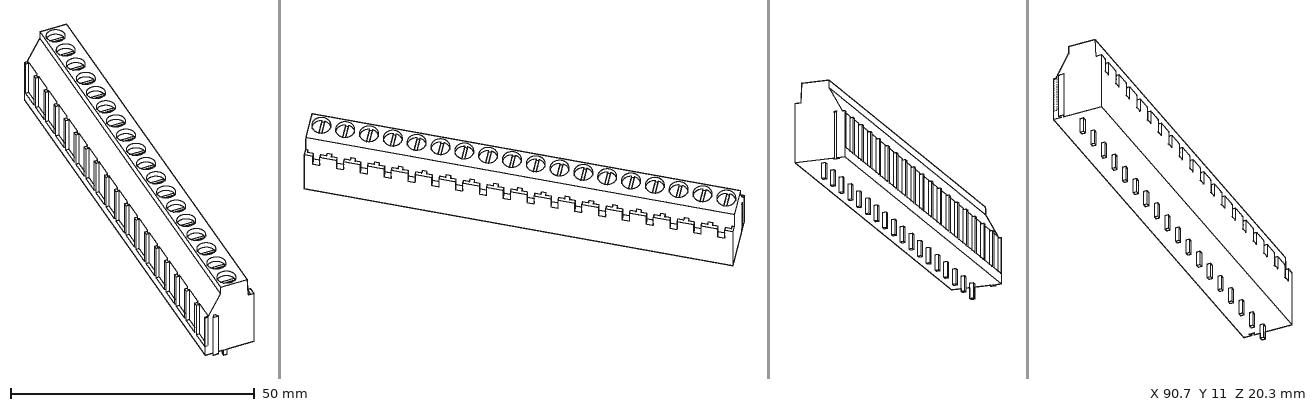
import cadquery as cq

pole_count = 18
pitch = 5.0
row_length = pole_count * pitch
row_left = -row_length / 2
row_right = row_length / 2

depth = 11.0
height = 17.0
front_y = -depth / 2
back_y = depth / 2
top_front_y = -2.0
top_back_y = 4.0
brow_y = -2.05
brow_z = 15.3
rib_top_z = 10.0
slope_foot_y = -4.95
ledge_z = 12.8
riser_foot_y = 4.2

rib_width = 0.8
panel_shift = 0.15
panel_depth = 0.7
panel_bottom_z = 2.2

screw_y = 0.4
screw_diameter = 3.9
screw_recess = 1.2
driver_slot_width = 0.6
driver_slot_depth = 0.5

marker_width = 4.0
marker_neck_width = 1.5
marker_neck_y = 4.8
marker_depth = 3.0

dovetail_y = -3.4
dovetail_reach = 0.65
dovetail_root_width = 0.4
dovetail_head_width = 1.3
dovetail_height = 10.1

pin_size = 0.8
pin_length = 3.3


def box(x_min, x_max, y_min, y_max, z_min, z_max):
    """Axis-aligned block between the given limits."""
    block = cq.Workplane("XY").box(x_max - x_min, y_max - y_min, z_max - z_min, centered=False)
    return block.translate((x_min, y_min, z_min))


def make_housing():
    """Constant cross-section run along the whole row."""
    section = [
        (front_y, 0),
        (back_y, 0),
        (back_y, ledge_z),
        (riser_foot_y, ledge_z),
        (top_back_y, height),
        (top_front_y, height),
        (brow_y, brow_z),
        (slope_foot_y, rib_top_z),
        (front_y, rib_top_z),
    ]
    return cq.Workplane("YZ", origin=(row_left, 0, 0)).polyline(section).close().extrude(row_length)


def make_panel_recess(x):
    """Front recess between two ribs, open upward into the slope and set slightly off the pole centre."""
    center_x = x + panel_shift
    half_width = (pitch - rib_width) / 2
    return box(
        center_x - half_width,
        center_x + half_width,
        front_y,
        front_y + panel_depth,
        panel_bottom_z,
        height,
    )


def make_screw_disc(x, z, rise):
    """Disc of the screw diameter that starts at z and rises (or sinks, if negative)."""
    return cq.Workplane("XY", origin=(x, screw_y, z)).circle(screw_diameter / 2).extrude(rise)


def make_screw_recess(x):
    """Round well over the screw head, with the driver slot in its floor."""
    floor_z = height - screw_recess
    well = make_screw_disc(x, floor_z, screw_recess)
    slot_limit = make_screw_disc(x, floor_z, -driver_slot_depth)
    slot = box(
        x - driver_slot_width / 2,
        x + driver_slot_width / 2,
        screw_y - screw_diameter / 2,
        screw_y + screw_diameter / 2,
        floor_z - driver_slot_depth,
        floor_z,
    )
    return well.union(slot.intersect(slot_limit))


def make_marker_slot(x):
    """T-shaped slot: wide head against the riser, neck out to the back face."""
    floor_z = ledge_z - marker_depth
    half_head = marker_width / 2
    half_neck = marker_neck_width / 2
    head = box(x - half_head, x + half_head, riser_foot_y, marker_neck_y, floor_z, ledge_z)
    neck = box(x - half_neck, x + half_neck, marker_neck_y, back_y, floor_z, ledge_z)
    return head.union(neck)


def make_dovetail(root_x):
    """Upright dovetail whose narrow root lies at root_x and whose head lies further along +X."""
    half_root = dovetail_root_width / 2
    half_head = dovetail_head_width / 2
    outline = [
        (0, -half_root),
        (dovetail_reach, -half_head),
        (dovetail_reach, half_head),
        (0, half_root),
    ]
    root = cq.Workplane("XY", origin=(root_x, dovetail_y, 0))
    return root.polyline(outline).close().extrude(dovetail_height)


def make_pin(x):
    """Square solder pin below the seating plane."""
    half_size = pin_size / 2
    return box(x - half_size, x + half_size, -half_size, half_size, -pin_length, 0)


pole_centers = [row_left + (i + 0.5) * pitch for i in range(pole_count)]

result = make_housing()
for pole_x in pole_centers:
    result = result.cut(make_panel_recess(pole_x))
    result = result.cut(make_screw_recess(pole_x))
    result = result.cut(make_marker_slot(pole_x))
    result = result.union(make_pin(pole_x))

result = result.union(make_dovetail(row_right))
result = result.cut(make_dovetail(row_left))